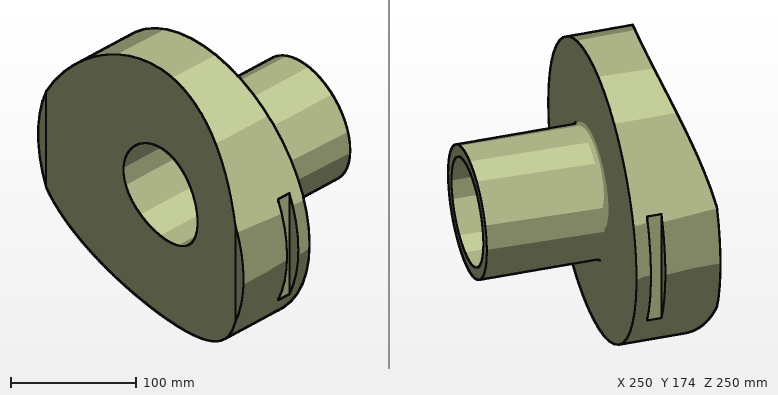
import cadquery as cq

disc_diameter = 250.0
disc_thickness = 70.0
total_length = 174.0
tube_diameter = 110.0
bore_diameter = 90.0
root_fillet = 6.0

saddle_half_width = 115.0
saddle_depth = 24.5
saddle_radius = (saddle_half_width**2 + saddle_depth**2) / (2 * saddle_depth)

slot_width = 12.0
slot_back_wall = 12.0
slot_floor_distance = 114.0


def cylinder_along_y(diameter, start, end):
    """Solid cylinder on the part axis between two Y positions."""
    return cq.Workplane("XZ", origin=(0, start, 0)).circle(diameter / 2).extrude(start - end)


def flanged_tube():
    """Disc with a tube on its back, blended at the root."""
    disc = cylinder_along_y(disc_diameter, 0, disc_thickness)
    tube = cylinder_along_y(tube_diameter, disc_thickness, total_length)
    root_edge = cq.selectors.BoxSelector(
        (-tube_diameter, disc_thickness - root_fillet, -tube_diameter),
        (tube_diameter, disc_thickness + root_fillet, tube_diameter),
    )
    joined = disc.union(tube)
    root = joined.edges(root_edge).edges(cq.selectors.RadiusNthSelector(0))
    return joined.newObject(root.vals()).fillet(root_fillet)


def saddle_cutter():
    """Cylinder that hollows the front face to the saddle depth."""
    axis_y = saddle_depth - saddle_radius
    return (
        cq.Workplane("XY")
        .center(0, axis_y)
        .circle(saddle_radius)
        .extrude(disc_diameter / 2, both=True)
    )


def side_slot(side):
    """Slot across the full height on the +X (side = 1) or -X (side = -1) edge."""
    depth = disc_diameter / 2 - slot_floor_distance
    center_x = side * (slot_floor_distance + depth / 2)
    center_y = disc_thickness - slot_back_wall - slot_width / 2
    return cq.Workplane("XY").box(depth, slot_width, disc_diameter).translate((center_x, center_y, 0))


result = flanged_tube().cut(saddle_cutter())
result = result.cut(cylinder_along_y(bore_diameter, 0, total_length))
for side in (-1, 1):
    result = result.cut(side_slot(side))